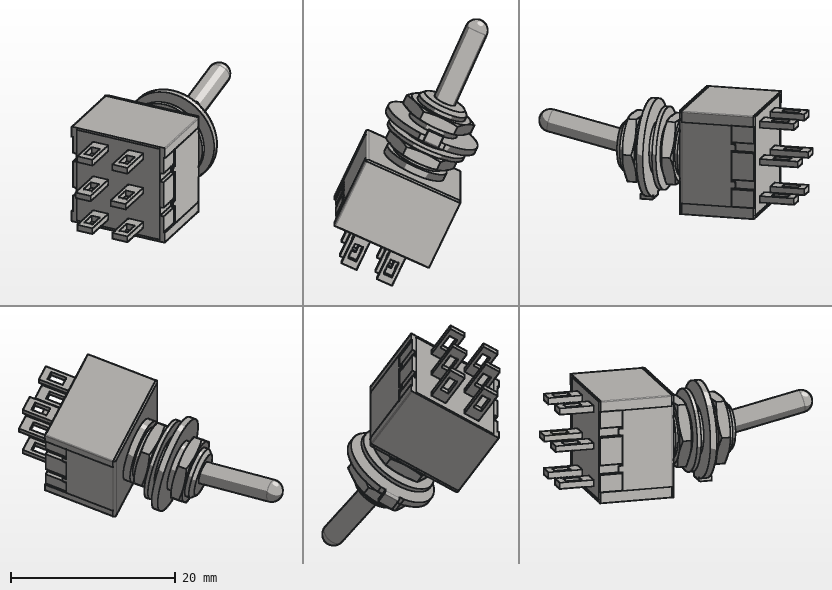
import cadquery as cq
import math


CASE_WIDTH = 12.7
CASE_HEIGHT = 13.0
CASE_DEPTH = 9.05
CASE_EDGE_RADIUS = 0.117
BASE_WIDTH = 11.25
BASE_HEIGHT = 12.4

PLATE_THICKNESS = 0.3
LEG_THICKNESS = 0.2
LEG_WIDTH = 10.2
LEG_END_Y = 2.82
TAB_WIDTH = 0.85
TAB_LENGTH = 0.55
TAB_CORNER_CHAMFER = 0.15

SLOT_WIDTH = 1.27
SLOT_DEPTH = 0.65
SLOT_LIP_RADIUS = 0.3
SLOT_FLOOR_WIDTH = 1.07

TERMINAL_WIDTH = 2.05
COLUMN_PITCH = 4.75
ROW_PITCH = 4.7
OUTER_TERMINAL_LENGTH = 4.3
OUTER_TERMINAL_THICKNESS = 0.8
MIDDLE_TERMINAL_LENGTH = 4.8
MIDDLE_TERMINAL_THICKNESS = 0.75
EYE_WIDTH = 1.1
EYE_LENGTH = 2.0
OUTER_EYE_START = 1.35
MIDDLE_EYE_START = 1.55

PLATE_TOP_Y = CASE_DEPTH + PLATE_THICKNESS
FLANGE_DIAMETER = 8.0
FLANGE_THICKNESS = 0.9
BUSHING_DIAMETER = 6.37
BUSHING_TIP_DIAMETER = 5.37
BUSHING_TOP_Y = 18.25
BUSHING_CHAMFER = (BUSHING_DIAMETER - BUSHING_TIP_DIAMETER) / 2

LEVER_DIAMETER = 2.8
LEVER_TILT = 12.0
LEVER_PIVOT_Y = 15.75
OVERALL_LENGTH = 33.55
LEVER_TIP_Y = OVERALL_LENGTH - MIDDLE_TERMINAL_LENGTH

NUT_ACROSS_FLATS = 7.9
NUT_ACROSS_CORNERS = NUT_ACROSS_FLATS / math.cos(math.radians(30))
NUT_THICKNESS = 1.48
NUT_CHAMFER_HEIGHT = 0.2
LOWER_NUT_Y = 10.8
UPPER_NUT_Y = 15.75
PLAIN_WASHER_DIAMETER = 10.2
PLAIN_WASHER_THICKNESS = 0.5
PLAIN_WASHER_Y = 12.65
TAB_WASHER_DIAMETER = 12.0
TAB_WASHER_THICKNESS = 0.8
TAB_WASHER_Y = 14.05
KEY_WIDTH = 2.0
KEY_LENGTH = 1.68
KEY_THICKNESS = 0.57
KEY_OUTER_Z = -6.35
KEY_BEND_RADIUS = 0.3

SIDES = (-1, 1)
TAB_ROWS = (-ROW_PITCH / 2, ROW_PITCH / 2)


def block(width, height, y_start, y_end, x=0.0, z=0.0):
    """Box centred on (x, z) that runs from y_start to y_end."""
    depth = y_end - y_start
    return cq.Workplane("XY").box(width, depth, height).translate((x, (y_start + y_end) / 2, z))


def disc(diameter, thickness, y_start):
    """Cylinder on the bushing axis."""
    return cq.Workplane("XZ", origin=(0, y_start, 0)).circle(diameter / 2).extrude(-thickness)


def side_slot(side, z):
    """Cutter for one case slot, flared outward, with a rounded lip at its inner end."""
    slot_outer = CASE_WIDTH / 2
    lip_outer = slot_outer - LEG_THICKNESS
    floor = slot_outer - SLOT_DEPTH
    lip_middle = SLOT_LIP_RADIUS * (1 - math.sqrt(0.5))
    lip_end_y = LEG_END_Y + SLOT_LIP_RADIUS
    outline = (
        cq.Workplane("XY", origin=(0, 0, z - SLOT_WIDTH / 2))
        .moveTo(side * slot_outer, 0)
        .lineTo(side * floor, 0)
        .lineTo(side * floor, LEG_END_Y)
        .lineTo(side * (lip_outer - SLOT_LIP_RADIUS), LEG_END_Y)
        .threePointArc((side * (lip_outer - lip_middle), LEG_END_Y + lip_middle), (side * lip_outer, lip_end_y))
        .lineTo(side * slot_outer, lip_end_y)
        .close()
    )
    flare = cq.Workplane("XZ").polyline([
        (side * floor, z - SLOT_FLOOR_WIDTH / 2),
        (side * floor, z + SLOT_FLOOR_WIDTH / 2),
        (side * slot_outer, z + SLOT_WIDTH / 2),
        (side * slot_outer, z - SLOT_WIDTH / 2),
    ]).close()
    return outline.extrude(SLOT_WIDTH).intersect(flare.extrude(-lip_end_y))


def make_case():
    """Sleeve with rounded long edges, leg recesses and tab slots."""
    case = block(CASE_WIDTH, CASE_HEIGHT, 0, CASE_DEPTH).edges("|Y").fillet(CASE_EDGE_RADIUS)
    case = case.cut(block(BASE_WIDTH, BASE_HEIGHT, 0, CASE_DEPTH))
    for side in SIDES:
        leg_x = side * (CASE_WIDTH - LEG_THICKNESS) / 2
        case = case.cut(block(LEG_THICKNESS, LEG_WIDTH, 0, CASE_DEPTH, x=leg_x))
        for z in TAB_ROWS:
            case = case.cut(side_slot(side, z))
    return case


def make_terminal(length, thickness, eye_start, x, z):
    """Flat solder lug with a rectangular eye."""
    lug = block(TERMINAL_WIDTH, thickness, -length, 0, x, z)
    eye = block(EYE_WIDTH, thickness, -eye_start - EYE_LENGTH, -eye_start, x, z)
    return lug.cut(eye)


def make_base():
    """Block that fills the case and carries the six terminals."""
    base = block(BASE_WIDTH, BASE_HEIGHT, 0, CASE_DEPTH)
    for side in SIDES:
        x = side * COLUMN_PITCH / 2
        base = base.union(
            make_terminal(MIDDLE_TERMINAL_LENGTH, MIDDLE_TERMINAL_THICKNESS, MIDDLE_EYE_START, x, 0)
        )
        for z in (-ROW_PITCH, ROW_PITCH):
            base = base.union(
                make_terminal(OUTER_TERMINAL_LENGTH, OUTER_TERMINAL_THICKNESS, OUTER_EYE_START, x, z)
            )
    return base


def make_bracket():
    """Plate with rounded bends, side legs and tabs at the leg ends."""
    bracket = block(CASE_WIDTH, CASE_HEIGHT, LEG_END_Y, PLATE_TOP_Y)
    bracket = bracket.edges("|Z and >Y").fillet(PLATE_THICKNESS)
    inner_width = CASE_WIDTH - 2 * LEG_THICKNESS
    bracket = bracket.cut(block(inner_width, CASE_HEIGHT, LEG_END_Y, CASE_DEPTH))
    margin = (CASE_HEIGHT - LEG_WIDTH) / 2
    for side in SIDES:
        margin_z = side * (CASE_HEIGHT - margin) / 2
        bracket = bracket.cut(block(CASE_WIDTH, margin, LEG_END_Y, CASE_DEPTH, z=margin_z))
        leg_x = side * (CASE_WIDTH - LEG_THICKNESS) / 2
        for z in TAB_ROWS:
            tab = block(LEG_THICKNESS, TAB_WIDTH, LEG_END_Y - TAB_LENGTH, LEG_END_Y, leg_x, z)
            bracket = bracket.union(tab.edges("|X and <Y").chamfer(TAB_CORNER_CHAMFER))
    return bracket


def make_lever():
    """Round-ended rod, tilted up from the bushing axis."""
    radius = LEVER_DIAMETER / 2
    tilt = math.radians(LEVER_TILT)
    straight = (LEVER_TIP_Y - radius - LEVER_PIVOT_Y) / math.cos(tilt)
    middle = radius * math.sqrt(0.5)
    half_outline = (
        cq.Workplane("XY")
        .lineTo(radius, 0)
        .lineTo(radius, straight)
        .threePointArc((middle, straight + middle), (0, straight + radius))
        .close()
    )
    rod = half_outline.revolve(360, (0, 0, 0), (0, 1, 0))
    return rod.rotate((0, 0, 0), (1, 0, 0), LEVER_TILT).translate((0, LEVER_PIVOT_Y, 0))


def make_bushing_bracket(lever):
    """Bracket with its flanged bushing, socketed for the lever."""
    barrel = disc(BUSHING_DIAMETER, BUSHING_TOP_Y - PLATE_TOP_Y, PLATE_TOP_Y)
    barrel = barrel.faces(">Y").chamfer(BUSHING_CHAMFER)
    flange = disc(FLANGE_DIAMETER, FLANGE_THICKNESS, PLATE_TOP_Y)
    return make_bracket().union(flange).union(barrel).cut(lever)


def make_nut(y_start):
    """Hexagon nut with its corners chamfered at both ends."""
    hexagon = cq.Workplane("XZ").polygon(6, NUT_ACROSS_CORNERS).extrude(-NUT_THICKNESS)
    face_radius = NUT_ACROSS_FLATS / 2
    corner_radius = NUT_ACROSS_CORNERS / 2
    half_envelope = cq.Workplane("XY").polyline([
        (0, 0),
        (face_radius, 0),
        (corner_radius, NUT_CHAMFER_HEIGHT),
        (corner_radius, NUT_THICKNESS - NUT_CHAMFER_HEIGHT),
        (face_radius, NUT_THICKNESS),
        (0, NUT_THICKNESS),
    ]).close()
    envelope = half_envelope.revolve(360, (0, 0, 0), (0, 1, 0))
    nut = hexagon.intersect(envelope).cut(disc(BUSHING_DIAMETER, NUT_THICKNESS, 0))
    return nut.translate((0, y_start, 0))


def make_washer(diameter, thickness, y_start):
    """Flat ring that fits the bushing."""
    return disc(diameter, thickness, y_start).cut(disc(BUSHING_DIAMETER, thickness, y_start))


def make_tab_washer():
    """Washer with a flat on its rim, where a locating key bends toward the lever end."""
    washer = make_washer(TAB_WASHER_DIAMETER, TAB_WASHER_THICKNESS, TAB_WASHER_Y)
    key_z = KEY_OUTER_Z + KEY_THICKNESS / 2
    washer_end_y = TAB_WASHER_Y + TAB_WASHER_THICKNESS
    washer = washer.cut(block(TAB_WASHER_DIAMETER, KEY_THICKNESS, TAB_WASHER_Y, washer_end_y, z=key_z))
    key = block(KEY_WIDTH, KEY_THICKNESS, TAB_WASHER_Y, TAB_WASHER_Y + KEY_LENGTH, z=key_z)
    key = key.edges("|X and <Y and <Z").fillet(KEY_BEND_RADIUS)
    return washer.union(key)


case = make_case()
base = make_base()
lever = make_lever()
bushing_bracket = make_bushing_bracket(lever)
nuts = [make_nut(y) for y in (LOWER_NUT_Y, UPPER_NUT_Y)]
plain_washer = make_washer(PLAIN_WASHER_DIAMETER, PLAIN_WASHER_THICKNESS, PLAIN_WASHER_Y)
tab_washer = make_tab_washer()

result = cq.Compound.makeCompound([
    case.solids().val(),
    base.solids().val(),
    bushing_bracket.solids().val(),
    lever.solids().val(),
    *[nut.solids().val() for nut in nuts],
    plain_washer.solids().val(),
    tab_washer.solids().val(),
])